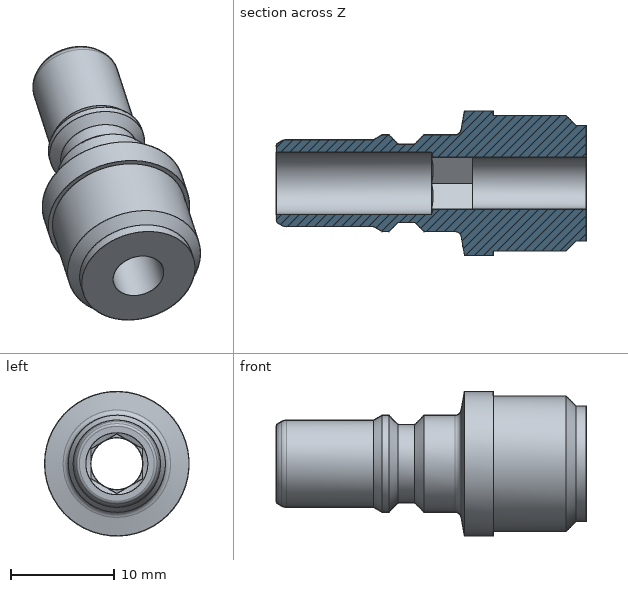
import cadquery as cq
import math


pilot_dia = 8.45
collar_dia = 9.4
neck_dia = 7.6
flange_dia = 14.0
body_dia = 13.16
spigot_dia = 11.2

overall_length = 30.0
pilot_start_x = 1.0
collar_start_x = 10.25
collar_length = 0.65
shoulder_start_x = 14.3
flange_rim_x = 18.2
flange_end_x = 21.0
spigot_start_x = 29.0

tip_angle = 30.0
collar_front_angle = 30.0
groove_flank_angle = 45.0
flange_face_angle = 80.0
body_chamfer_angle = 45.0

nose_radius = 0.3
pilot_blend_radius = 0.95
flange_root_radius = 0.6

bore_dia = 6.0
bore_depth = 15.0
hex_sides = 6
hex_across_flats = 5.0
hex_length = 4.0
through_dia = 5.0
bore_cone_half_angle = 70.0


def cone_length(large_dia, small_dia, angle):
    """Axial length of a cone whose side makes the given angle with the axis."""
    return (large_dia - small_dia) / 2 / math.tan(math.radians(angle))


def arc_point(center, radius, angle):
    """Point on a circle, with the angle in degrees counted from +X towards the radial direction."""
    turn = math.radians(angle)
    return (center[0] + radius * math.cos(turn), center[1] + radius * math.sin(turn))


def outer_body():
    """Solid of revolution with all outside steps, cones and fillets."""
    pilot_end_x = collar_start_x - cone_length(collar_dia, pilot_dia, collar_front_angle)
    groove_flank = cone_length(collar_dia, neck_dia, groove_flank_angle)
    collar_end_x = collar_start_x + collar_length
    chamfer_start_x = spigot_start_x - cone_length(body_dia, spigot_dia, body_chamfer_angle)
    collar_radius = collar_dia / 2

    tip_slope = math.radians(tip_angle)
    tip_normal = 90 + tip_angle
    blend_center = (pilot_start_x, pilot_dia / 2 - pilot_blend_radius)
    blend_start = arc_point(blend_center, pilot_blend_radius, tip_normal)
    blend_middle = arc_point(blend_center, pilot_blend_radius, 90 + tip_angle / 2)

    nose_end_x = nose_radius * (1 - math.sin(tip_slope))
    nose_end_radius = blend_start[1] - (blend_start[0] - nose_end_x) * math.tan(tip_slope)
    nose_center = (nose_radius, nose_end_radius - nose_radius * math.cos(tip_slope))
    nose_middle = arc_point(nose_center, nose_radius, (180 + tip_normal) / 2)

    root_turn = math.radians(flange_face_angle)
    root_end_radius = collar_radius + flange_root_radius * (1 - math.cos(root_turn))
    root_end_x = flange_rim_x - cone_length(flange_dia, 2 * root_end_radius, flange_face_angle)
    root_start_x = root_end_x - flange_root_radius * math.sin(root_turn)
    root_center = (root_start_x, collar_radius + flange_root_radius)
    root_middle = arc_point(root_center, flange_root_radius, flange_face_angle / 2 - 90)

    profile = (
        cq.Workplane("XY")
        .moveTo(0, 0)
        .lineTo(0, nose_center[1])
        .threePointArc(nose_middle, (nose_end_x, nose_end_radius))
        .lineTo(*blend_start)
        .threePointArc(blend_middle, (pilot_start_x, pilot_dia / 2))
        .lineTo(pilot_end_x, pilot_dia / 2)
        .lineTo(collar_start_x, collar_radius)
        .lineTo(collar_end_x, collar_radius)
        .lineTo(collar_end_x + groove_flank, neck_dia / 2)
        .lineTo(shoulder_start_x - groove_flank, neck_dia / 2)
        .lineTo(shoulder_start_x, collar_radius)
        .lineTo(root_start_x, collar_radius)
        .threePointArc(root_middle, (root_end_x, root_end_radius))
        .lineTo(flange_rim_x, flange_dia / 2)
        .lineTo(flange_end_x, flange_dia / 2)
        .lineTo(flange_end_x, body_dia / 2)
        .lineTo(chamfer_start_x, body_dia / 2)
        .lineTo(spigot_start_x, spigot_dia / 2)
        .lineTo(overall_length, spigot_dia / 2)
        .lineTo(overall_length, 0)
        .close()
    )
    return profile.revolve(360, (0, 0, 0), (1, 0, 0))


def bore():
    """Bore from the tip, narrowing through a drill cone to the through hole."""
    cone_end_x = bore_depth + cone_length(bore_dia, through_dia, bore_cone_half_angle)
    profile = (
        cq.Workplane("XY")
        .moveTo(0, 0)
        .lineTo(0, bore_dia / 2)
        .lineTo(bore_depth, bore_dia / 2)
        .lineTo(cone_end_x, through_dia / 2)
        .lineTo(overall_length, through_dia / 2)
        .lineTo(overall_length, 0)
        .close()
    )
    return profile.revolve(360, (0, 0, 0), (1, 0, 0))


def hex_socket():
    """Hexagon socket beyond the bore, with flats facing Y and corners on Z."""
    half_sector = 180 / hex_sides
    across_corners = hex_across_flats / math.cos(math.radians(half_sector))
    return (
        cq.Workplane("YZ")
        .workplane(offset=bore_depth)
        .transformed(rotate=(0, 0, half_sector))
        .polygon(hex_sides, across_corners)
        .extrude(hex_length)
    )


result = outer_body().cut(bore()).cut(hex_socket())